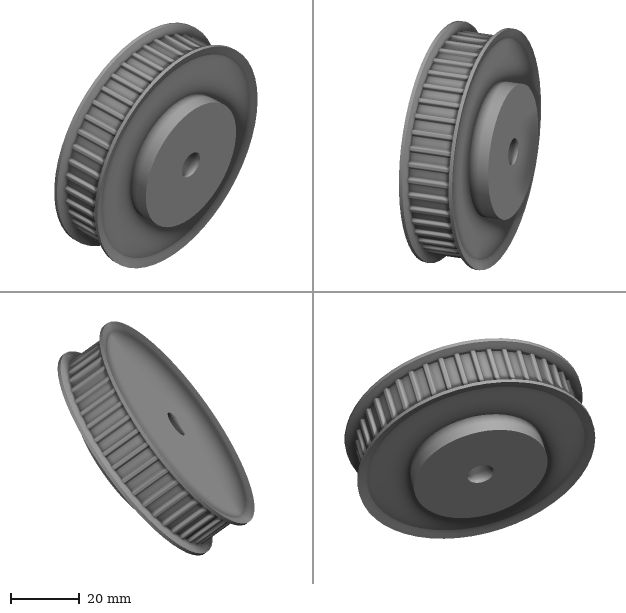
import cadquery as cq
import math

OUTER_DIAMETER = 71.0
BORE_DIAMETER = 8.0

FLANGE_BORE_DIAMETER = 56.1
DISH_DIAMETER = 65.1
DISH_DEPTH = 0.8
SHEET_THICKNESS = 1.0
RIM_WIDTH = 1.1

TOOTH_COUNT = 42
TOOTH_TIP_RADIUS = 32.8
TOOTH_ROOT_RADIUS = 31.75
TOOTH_ROOT_WIDTH = 2.0
TOOTH_TIP_WIDTH = 1.3
TOOTH_TIP_FILLET = 0.5
TOOTH_ROOT_FILLET = 0.3
BELT_WIDTH = 13.05

HUB_DIAMETER = 40.0
TOTAL_LENGTH = 21.8

FLANGE_DEPTH = DISH_DEPTH + SHEET_THICKNESS
BELT_END = FLANGE_DEPTH + BELT_WIDTH
FLANGED_LENGTH = BELT_END + FLANGE_DEPTH
TOOTH_SINK = 0.7
EDGE_TOLERANCE = 0.001


def cylinder(diameter, x_start, x_end):
    """Solid cylinder along X between two stations."""
    return cq.Workplane("YZ").workplane(offset=x_start).circle(diameter / 2).extrude(x_end - x_start)


def make_tooth():
    """One tooth on the +Z side, tapered towards a rounded tip."""
    half_root = TOOTH_ROOT_WIDTH / 2
    half_tip = TOOTH_TIP_WIDTH / 2
    root_z = math.sqrt(TOOTH_ROOT_RADIUS**2 - half_root**2)
    return (
        cq.Workplane("YZ")
        .workplane(offset=FLANGE_DEPTH)
        .moveTo(-half_root, TOOTH_ROOT_RADIUS - TOOTH_SINK)
        .lineTo(half_root, TOOTH_ROOT_RADIUS - TOOTH_SINK)
        .lineTo(half_root, root_z)
        .lineTo(half_tip, TOOTH_TIP_RADIUS)
        .lineTo(-half_tip, TOOTH_TIP_RADIUS)
        .lineTo(-half_root, root_z)
        .close()
        .extrude(BELT_WIDTH)
        .edges("|X and >Z")
        .fillet(TOOTH_TIP_FILLET)
    )


def is_tooth_root(edge):
    """True for an edge where a tooth flank meets the root cylinder."""
    center = edge.Center()
    return math.isclose(math.hypot(center.y, center.z), TOOTH_ROOT_RADIUS, abs_tol=EDGE_TOLERANCE)


def make_wheel():
    """Toothed wheel with a seat for each flange, the hub and the through bore."""
    wheel = cylinder(2 * TOOTH_ROOT_RADIUS, FLANGE_DEPTH, BELT_END)
    tooth = make_tooth()
    pitch_angle = 360 / TOOTH_COUNT
    for index in range(TOOTH_COUNT):
        angle = (index + 0.5) * pitch_angle
        wheel = wheel.union(tooth.rotate((0, 0, 0), (1, 0, 0), angle))
    wheel = wheel.edges("|X").filter(is_tooth_root).fillet(TOOTH_ROOT_FILLET)
    flange_seats = cylinder(FLANGE_BORE_DIAMETER, DISH_DEPTH, FLANGED_LENGTH - DISH_DEPTH)
    hub = cylinder(HUB_DIAMETER, BELT_END, TOTAL_LENGTH)
    bore = cylinder(BORE_DIAMETER, 0, TOTAL_LENGTH)
    return wheel.union(flange_seats).union(hub).cut(bore)


def make_flange(rim_x, inward):
    """Sheet flange whose rim is at rim_x; inward is the X direction towards the teeth."""
    flat_x = rim_x + inward * DISH_DEPTH
    seat_x = rim_x + inward * FLANGE_DEPTH
    inner_rim_x = rim_x + inward * RIM_WIDTH
    profile = [
        (flat_x, FLANGE_BORE_DIAMETER / 2),
        (flat_x, DISH_DIAMETER / 2),
        (rim_x, OUTER_DIAMETER / 2),
        (inner_rim_x, OUTER_DIAMETER / 2),
        (seat_x, TOOTH_TIP_RADIUS),
        (seat_x, FLANGE_BORE_DIAMETER / 2),
    ]
    return cq.Workplane("XY").polyline(profile).close().revolve(360, (0, 0, 0), (1, 0, 0))


wheel = make_wheel()
flanges = [make_flange(0, 1), make_flange(FLANGED_LENGTH, -1)]

result = cq.Compound.makeCompound([wheel.val(), *[flange.val() for flange in flanges]])